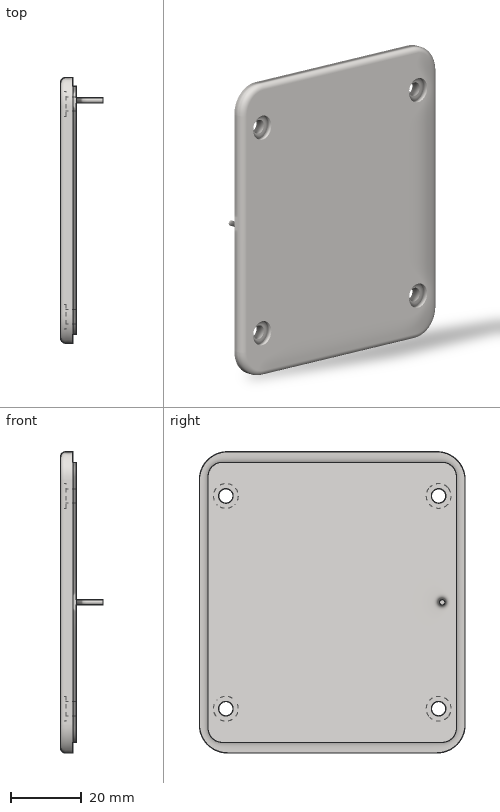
import cadquery as cq

plate_width = 75.0
plate_height = 85.0
plate_thickness = 3.5
plate_corner_radius = 8.0
outer_edge_radius = 1.5

step_width = 70.0
step_height = 79.0
step_thickness = 1.0
step_corner_radius = 4.0
step_face_x = plate_thickness + step_thickness

hole_spacing = 60.0
hole_diameter = 4.0
counterbore_diameter = 7.0
counterbore_depth = 1.5

overall_depth = 12.0
pin_diameter = 1.5
pin_length = overall_depth - step_face_x
pin_y = 31.0


def rounded_slab(start_x, width, height, thickness, corner_radius):
    """Slab centred on the X axis with its four corners rounded."""
    return (
        cq.Workplane("YZ", origin=(start_x, 0, 0))
        .rect(width, height)
        .extrude(thickness)
        .edges("|X")
        .fillet(corner_radius)
    )


def make_plate():
    plate = rounded_slab(0, plate_width, plate_height, plate_thickness, plate_corner_radius)
    return plate.faces("<X").edges().fillet(outer_edge_radius)


def make_step():
    return rounded_slab(plate_thickness, step_width, step_height, step_thickness, step_corner_radius)


def make_pin():
    return (
        cq.Workplane("YZ", origin=(step_face_x, pin_y, 0))
        .circle(pin_diameter / 2)
        .extrude(pin_length)
    )


def cylinders_at_holes(diameter, depth):
    """Four cutting cylinders running inwards from the outer face."""
    return (
        cq.Workplane("YZ")
        .rect(hole_spacing, hole_spacing, forConstruction=True)
        .vertices()
        .circle(diameter / 2)
        .extrude(depth)
    )


body = make_plate().union(make_step()).union(make_pin())
body = body.cut(cylinders_at_holes(hole_diameter, step_face_x))
result = body.cut(cylinders_at_holes(counterbore_diameter, counterbore_depth))